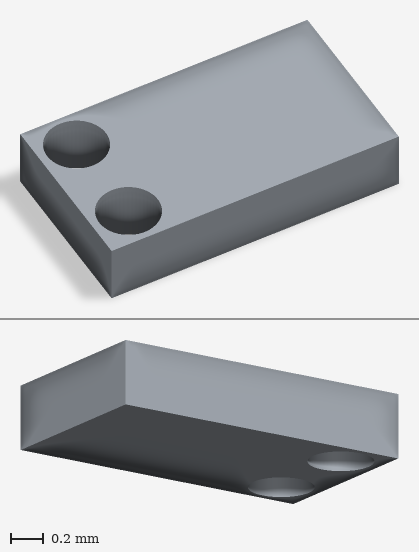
import cadquery as cq

width = 1.14
length = 2.0
thickness = 0.41

hole_diameter = 0.408
hole_spacing = 0.648
hole_edge_distance = 0.255
left_hole_edge_distance = 0.245

left_hole_x = left_hole_edge_distance - width / 2
hole_y = hole_edge_distance - length / 2
hole_centres = [(left_hole_x + i * hole_spacing, hole_y) for i in range(2)]

plate = cq.Workplane("XY").box(width, length, thickness)
result = plate.faces(">Z").workplane().pushPoints(hole_centres).hole(hole_diameter)